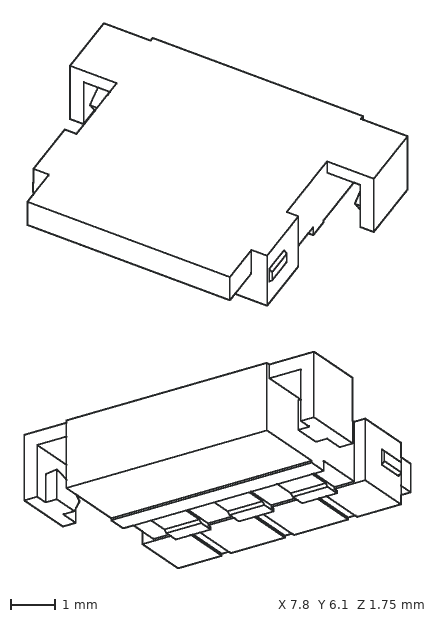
import cadquery as cq

OVERALL_WIDTH = 7.8
OVERALL_DEPTH = 6.1
OVERALL_HEIGHT = 1.75

BODY_WIDTH = 5.4
BODY_BOTTOM = 0.25
REAR_PAD_BOTTOM = 0.05
FOOT_FRONT = 3.75
FOOT_DEPTH = 0.5
FOOT_REAR = FOOT_FRONT + FOOT_DEPTH

TONGUE_WIDTH = 5.2
TONGUE_THICKNESS = 0.72
SHOULDER_WIDTH = 6.0
SHOULDER_FRONT = 1.02
SHOULDER_REAR = 2.5
SHOULDER_BOTTOM = 0.2

BRACKET_FRONT = 4.4
BRACKET_REAR = 6.0
BRACKET_THICKNESS = 0.35
LEG_BOTTOM = 0.1

HOOK_REACH = 0.3
HOOK_TIP_SETBACK = 0.3
HOOK_LENGTH = 0.95
HOOK_TIP_Z = 0.44
HOOK_TOP_INNER = 0.85
HOOK_TOP_OUTER = 0.81
HOOK_BOTTOM_RUN = 0.22
HOOK_CURVE_RISE = 0.08

NUB_HEIGHT = 0.075
NUB_FRONT = 1.12
NUB_REAR = 1.82
NUB_BOTTOM = 0.87
NUB_TOP = 1.26
NUB_BEVEL = 0.07

CONTACT_COUNT = 3
CONTACT_PITCH = 1.7
CONTACT_WIDTH = 0.94
CONTACT_BOTTOM = 0.14
CONTACT_FRONT = 2.39
CONTACT_PAD_REAR = 2.86
CONTACT_RAMP = 0.08
CONTACT_STRIP_BOTTOM = SHOULDER_BOTTOM
GROOVE_WIDTH = 0.24
GROOVE_DEPTH = 0.05

SIDES = (-1, 1)


def block(x_min, x_max, y_min, y_max, z_min, z_max):
    """Box between two opposite corners."""
    size = (x_max - x_min, y_max - y_min, z_max - z_min)
    return cq.Workplane("XY").box(*size, centered=False).translate((x_min, y_min, z_min))


def centred_block(width, y_min, y_max, z_min, z_max):
    """Box that is symmetric about X = 0."""
    return block(-width / 2, width / 2, y_min, y_max, z_min, z_max)


def side_block(side, inner, outer, y_min, y_max, z_min, z_max):
    """Box on one side of the part, between two distances from X = 0."""
    x_min, x_max = sorted((side * inner, side * outer))
    return block(x_min, x_max, y_min, y_max, z_min, z_max)


def make_body():
    """Main slab with its rear pad, foot, tongue and shoulder."""
    top = OVERALL_HEIGHT
    body = centred_block(BODY_WIDTH, SHOULDER_FRONT, OVERALL_DEPTH, BODY_BOTTOM, top)
    rear_pad = centred_block(BODY_WIDTH, FOOT_REAR, OVERALL_DEPTH, REAR_PAD_BOTTOM, top)
    foot = centred_block(BODY_WIDTH, FOOT_FRONT, FOOT_REAR, 0, top)
    tongue = centred_block(TONGUE_WIDTH, 0, SHOULDER_REAR, top - TONGUE_THICKNESS, top)
    shoulder = centred_block(SHOULDER_WIDTH, SHOULDER_FRONT, SHOULDER_REAR, SHOULDER_BOTTOM, top)
    return body.union(rear_pad).union(foot).union(tongue).union(shoulder)


def make_bracket(side):
    """L-shaped bracket: a flange level with the top and a leg hanging from its edge."""
    outer = OVERALL_WIDTH / 2
    leg_inner = outer - BRACKET_THICKNESS
    flange_bottom = OVERALL_HEIGHT - BRACKET_THICKNESS
    flange = side_block(side, 0, outer, BRACKET_FRONT, BRACKET_REAR, flange_bottom, OVERALL_HEIGHT)
    leg = side_block(side, leg_inner, outer, BRACKET_FRONT, BRACKET_REAR, LEG_BOTTOM, OVERALL_HEIGHT)
    return flange.union(leg)


def hook_section(x, top_z):
    """Closed hook profile at one X: a sharp nose under a bulging upper face."""
    tip_y = BRACKET_FRONT + HOOK_TIP_SETBACK
    rear_y = tip_y + HOOK_LENGTH
    tip = cq.Vector(x, tip_y, HOOK_TIP_Z)
    rear_top = cq.Vector(x, rear_y, top_z)
    rear_bottom = cq.Vector(x, rear_y, LEG_BOTTOM)
    nose_bottom = cq.Vector(x, tip_y + HOOK_BOTTOM_RUN, LEG_BOTTOM)
    curve_middle = (tip + rear_top) / 2 + cq.Vector(0, 0, HOOK_CURVE_RISE)
    edges = [
        cq.Edge.makeThreePointArc(tip, curve_middle, rear_top),
        cq.Edge.makeLine(rear_top, rear_bottom),
        cq.Edge.makeLine(rear_bottom, nose_bottom),
        cq.Edge.makeLine(nose_bottom, tip),
    ]
    return cq.Wire.assembleEdges(edges)


def make_hook(side):
    """Hook on the inner leg face, slightly taller at its free side than at the leg."""
    outer = OVERALL_WIDTH / 2 - BRACKET_THICKNESS
    inner = outer - HOOK_REACH
    sections = [
        hook_section(side * inner, HOOK_TOP_INNER),
        hook_section(side * outer, HOOK_TOP_OUTER),
    ]
    return cq.Workplane("XY").add(cq.Solid.makeLoft(sections, True))


def make_nub(side):
    """Locking nub on the shoulder side, bevelled above and below."""
    base = side * SHOULDER_WIDTH / 2
    tip = base + side * NUB_HEIGHT
    return (
        cq.Workplane("XZ", origin=(0, NUB_REAR, 0))
        .polyline([
            (base, NUB_BOTTOM),
            (tip, NUB_BOTTOM + NUB_BEVEL),
            (tip, NUB_TOP - NUB_BEVEL),
            (base, NUB_TOP),
        ])
        .close()
        .extrude(NUB_REAR - NUB_FRONT)
    )


def make_contact(x):
    """Contact strip running forward from the foot and stepping down to a pad at its front."""
    return (
        cq.Workplane("YZ", origin=(x - CONTACT_WIDTH / 2, 0, 0))
        .polyline([
            (CONTACT_FRONT, BODY_BOTTOM),
            (CONTACT_FRONT, CONTACT_BOTTOM),
            (CONTACT_PAD_REAR - CONTACT_RAMP, CONTACT_BOTTOM),
            (CONTACT_PAD_REAR, CONTACT_STRIP_BOTTOM),
            (FOOT_FRONT, CONTACT_STRIP_BOTTOM),
            (FOOT_FRONT, BODY_BOTTOM),
        ])
        .close()
        .extrude(CONTACT_WIDTH)
    )


def make_groove(x):
    """Shallow groove in the shoulder underside, running from its front face to the contact."""
    half = GROOVE_WIDTH / 2
    roof = SHOULDER_BOTTOM + GROOVE_DEPTH
    return block(x - half, x + half, SHOULDER_FRONT, CONTACT_FRONT, SHOULDER_BOTTOM, roof)


result = make_body()
for side in SIDES:
    result = result.union(make_bracket(side)).union(make_hook(side)).union(make_nub(side))
for index in range(CONTACT_COUNT):
    contact_x = (index - (CONTACT_COUNT - 1) / 2) * CONTACT_PITCH
    result = result.union(make_contact(contact_x)).cut(make_groove(contact_x))